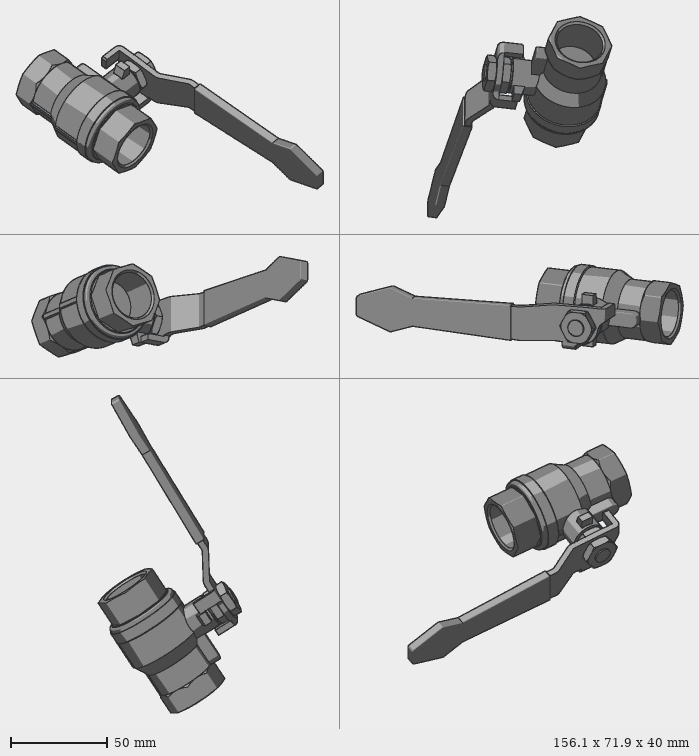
import cadquery as cq
import math


half_length = 35.0
neck_radius = 15.5
barrel_radius = 19.3
collar_radius = 20.0
neck_end_x = -11.0
barrel_start_x = -3.9
collar_start_x = 11.5
collar_end_x = 18.0
collar_chamfer = 0.5
barrel_end_x = 20.5
barrel_end_fillet = 1.1
end_cone_length = 0.5

octagon_corner_radius = 16.9
octagon_edge_fillet = 0.8
octagon_front_length = 11.2
octagon_face_chamfer = 1.4
octagon_face_chamfer_depth = 0.3
octagon_back_chamfer = 1.2
bore_radius = 12.2
bore_depth = 20.3
bore_chamfer = 1.1

rib_top_width = 2.3
rib_base_width = 3.3
neck_rib_reach = 16.2
neck_rib_end_x = -9.7

bar_width = 7.8
bar_top_y = 20.9
bar_end_x = -24.5
bar_edge_fillet = 0.5

boss_radius = 9.0
boss_top_y = 30.5
gland_radius = 7.2
stem_radius = 4.4
stem_top_y = 44.6
lug_width = 6.2
lug_reach = 13.9
lug_top_y = 29.0
lug_tip_y = 25.1
lug_root_y = 23.4

nut_corner_radius = 9.5
nut_height = 4.5
nut_chamfer = 1.0
lever_thickness = 3.3
lever_bottom_y = 35.9
lever_eye_radius = 10.3
lever_taper_x = -4.7
lever_neck_half_width = 8.7
tab_width = 6.5
tab_end_y = 26.0
hook_outer_x = -14.4
hook_corner_chamfer = 1.0
stop_end_x = 10.0
tab_bend_radius = 3.1
hook_corner_fillet = 6.2
stop_corner_fillet = 3.5
ramp_start_x = 15.6
ramp_angle = 31.0
bend_inner_radius = 2.8

grip_start_x = 35.0
grip_start_y = 46.5
grip_length = 86.1
grip_thickness = 4.8
grip_tilt = 2.0
grip_start_half_width = 9.5
grip_waist_at = 54.8
grip_waist_half_width = 7.6
grip_widest_at = 67.1
grip_widest_half_width = 12.0
grip_tip_half_width = 5.3
grip_corner_fillet = 1.5
grip_edge_fillet = 0.5

lever_top_y = lever_bottom_y + lever_thickness
hook_low_z = lever_eye_radius - tab_width
stop_start_x = stop_end_x - tab_width


def box(x_range, y_range, z_range):
    sizes = [high - low for low, high in (x_range, y_range, z_range)]
    corner = (x_range[0], y_range[0], z_range[0])
    return cq.Workplane("XY").box(*sizes, centered=False).translate(corner)


def cylinder_y(radius, start_y, end_y):
    return cq.Workplane("XZ", origin=(0, start_y, 0)).circle(radius).extrude(start_y - end_y)


def cylinder_x(radius, start_x, end_x):
    return cq.Workplane("YZ", origin=(start_x, 0, 0)).circle(radius).extrude(end_x - start_x)


def turned_body():
    start_x = -half_length + octagon_front_length
    fillet_start_x = barrel_end_x - barrel_end_fillet
    outline = [
        (start_x, 0),
        (start_x, neck_radius),
        (neck_end_x, neck_radius),
        (barrel_start_x, barrel_radius),
        (collar_start_x, barrel_radius),
        (collar_start_x + collar_chamfer, collar_radius),
        (collar_end_x, collar_radius),
        (collar_end_x, barrel_radius),
        (fillet_start_x, barrel_radius),
    ]
    profile = (
        cq.Workplane("XY")
        .polyline(outline)
        .tangentArcPoint((barrel_end_fillet, -barrel_end_fillet), relative=True)
        .lineTo(barrel_end_x, octagon_corner_radius + end_cone_length)
        .lineTo(barrel_end_x + end_cone_length, octagon_corner_radius)
        .lineTo(barrel_end_x + end_cone_length, 0)
        .close()
    )
    return profile.revolve(360, (0, 0, 0), (1, 0, 0))


def octagon(start_x, end_x):
    prism = (
        cq.Workplane("YZ", origin=(start_x, 0, 0))
        .polygon(8, 2 * octagon_corner_radius)
        .extrude(end_x - start_x)
    )
    return prism.edges("|X").fillet(octagon_edge_fillet)


def pipe_ends():
    front_end_x = -half_length + octagon_front_length
    front_limit = (
        cylinder_x(octagon_corner_radius, -half_length, front_end_x)
        .faces(">X")
        .edges()
        .chamfer(octagon_back_chamfer)
        .faces("<X")
        .edges()
        .chamfer(octagon_face_chamfer_depth, octagon_face_chamfer)
    )
    back_limit = (
        cylinder_x(octagon_corner_radius, barrel_end_x, half_length)
        .faces(">X")
        .edges()
        .chamfer(octagon_face_chamfer_depth, octagon_face_chamfer)
    )
    front = octagon(-half_length, front_end_x).intersect(front_limit)
    return front.union(octagon(barrel_end_x, half_length).intersect(back_limit))


def bore():
    plug = cylinder_x(bore_radius, -half_length, -half_length + bore_depth)
    mouth = cq.Workplane(
        cq.Solid.makeCone(
            bore_radius + bore_chamfer,
            bore_radius,
            bore_chamfer,
            pnt=cq.Vector(-half_length, 0, 0),
            dir=cq.Vector(1, 0, 0),
        )
    )
    front = plug.union(mouth)
    return front.union(front.mirror("YZ"))


def drafted_rib(start_x, end_x, base_radius, top_radius):
    """A bar across the body whose two outer edges taper from the surface outwards."""
    tapered_edge = [
        (base_radius, rib_base_width / 2),
        (top_radius, rib_top_width / 2),
    ]
    profile = (
        tapered_edge
        + [(y, -z) for y, z in reversed(tapered_edge)]
        + [(-y, -z) for y, z in tapered_edge]
        + [(-y, z) for y, z in reversed(tapered_edge)]
    )
    section = cq.Workplane("YZ", origin=(start_x, 0, 0)).polyline(profile).close()
    return section.extrude(end_x - start_x)


def parting_ribs():
    neck_start_x = -half_length + octagon_front_length - octagon_back_chamfer
    neck_rib = drafted_rib(neck_start_x, neck_rib_end_x, neck_radius, neck_rib_reach)
    barrel_rib = drafted_rib(barrel_start_x, collar_start_x + collar_chamfer, barrel_radius, collar_radius)
    return neck_rib.union(barrel_rib)


def neck_bar():
    round_radius = bar_width / 2
    center_x = bar_end_x + round_radius
    bar = box((center_x, 0), (0, bar_top_y), (-round_radius, round_radius))
    bar = bar.union(cylinder_y(round_radius, 0, bar_top_y).translate((center_x, 0, 0)))
    return bar.faces(">Y").edges().fillet(bar_edge_fillet)


def stem():
    boss = cylinder_y(boss_radius, 0, boss_top_y)
    gland = cylinder_y(gland_radius, boss_top_y, lever_bottom_y)
    spindle = cylinder_y(stem_radius, boss_top_y, stem_top_y)
    return boss.union(gland).union(spindle)


def lugs():
    profile = [
        (lug_top_y, -lug_reach),
        (lug_top_y, lug_reach),
        (lug_tip_y, lug_reach),
        (lug_root_y, boss_radius),
        (lug_root_y, -boss_radius),
        (lug_tip_y, -lug_reach),
    ]
    return cq.Workplane("YZ").polyline(profile).close().extrude(lug_width / 2, both=True)


def nut(bottom_y):
    top_y = bottom_y + nut_height
    hexagon = cq.Workplane("XZ", origin=(0, bottom_y, 0)).polygon(6, 2 * nut_corner_radius)
    rounding = cylinder_y(nut_corner_radius, bottom_y, top_y).edges().chamfer(nut_chamfer / 2, nut_chamfer)
    return hexagon.extrude(-nut_height).intersect(rounding)


def lever_strip():
    """Side profile of the bent strip: rounded hook bend, flat, ramp and the neck inside the grip."""
    angle = math.radians(ramp_angle)
    miter = lever_thickness * math.tan(angle / 2)
    neck_bottom_y = grip_start_y - lever_thickness / 2
    neck_top_y = neck_bottom_y + lever_thickness
    ramp_end_x = ramp_start_x + (neck_bottom_y - lever_bottom_y) / math.tan(angle)
    neck_end = grip_start_x + grip_thickness
    ramp_foot = (ramp_start_x, lever_bottom_y)
    neck_foot = (ramp_end_x, neck_bottom_y)
    neck_head = (ramp_end_x - miter, neck_top_y)
    ramp_head = (ramp_start_x - miter, lever_top_y)
    hook_bend = (hook_outer_x, lever_top_y)
    profile = [
        (hook_outer_x, lever_bottom_y),
        ramp_foot,
        neck_foot,
        (neck_end, neck_bottom_y),
        (neck_end, neck_top_y),
        neck_head,
        ramp_head,
        hook_bend,
    ]
    strip = cq.Workplane("XY").polyline(profile).close().extrude(lever_eye_radius, both=True)
    bend_outer_radius = bend_inner_radius + lever_thickness
    bends = [
        (ramp_foot, bend_outer_radius),
        (ramp_head, bend_inner_radius),
        (neck_foot, bend_inner_radius),
        (neck_head, bend_outer_radius),
        (hook_bend, tab_bend_radius),
    ]
    for (x, y), radius in bends:
        strip = strip.edges("|Z").edges(cq.NearestToPointSelector((x, y, 0))).fillet(radius)
    return strip


def stop_strip():
    """Flat of the lever on its -Z side, rounded where it bends down into the stop tab."""
    flat = box((-lever_eye_radius, stop_end_x), (lever_bottom_y, lever_top_y), (-lug_reach, 0))
    return flat.edges("|X and <Z and >Y").fillet(tab_bend_radius)


def lever_outline():
    """Plan of the lever: hook, round eye about the stem, stop tab and tapering arm."""
    bottom_y = lever_bottom_y
    top_y = grip_start_y + lever_thickness
    arm_end_x = grip_start_x + grip_thickness
    overrun = 2 * hook_corner_fillet

    hook = box((hook_outer_x - overrun, lever_taper_x), (bottom_y, top_y), (hook_low_z, lever_eye_radius))
    stop = box((stop_start_x, stop_end_x), (bottom_y, top_y), (-lug_reach - overrun, 0))
    half_eye = cylinder_y(lever_eye_radius, bottom_y, top_y).intersect(
        box((-lever_eye_radius, lever_eye_radius), (bottom_y, top_y), (-lever_eye_radius, hook_low_z))
    )
    arm_points = [
        (lever_taper_x, lever_eye_radius),
        (arm_end_x, lever_neck_half_width),
        (arm_end_x, -lever_neck_half_width),
        (0, -lever_eye_radius),
        (lever_taper_x, 0),
    ]
    arm = cq.Workplane("XZ", origin=(0, bottom_y, 0)).polyline(arm_points).close()
    outline = half_eye.union(hook).union(stop).union(arm.extrude(bottom_y - top_y))

    middle_y = (bottom_y + top_y) / 2
    hook_corner_x = -math.sqrt(lever_eye_radius**2 - hook_low_z**2)
    stop_corner_z = -math.sqrt(lever_eye_radius**2 - stop_start_x**2)
    corners = [
        (hook_corner_x, hook_low_z, hook_corner_fillet),
        (stop_start_x, stop_corner_z, stop_corner_fillet),
    ]
    for x, z, radius in corners:
        corner_edge = cq.NearestToPointSelector((x, middle_y, z))
        outline = outline.edges("|Y").edges(corner_edge).fillet(radius)
    return outline


def hanging_tabs():
    """The parts of the hook and the stop that hang straight down from the lever."""
    y_range = (tab_end_y, lever_bottom_y)
    hook_x = (hook_outer_x, hook_outer_x + lever_thickness)
    stop_z = (-lug_reach, -lug_reach + lever_thickness)
    hook = box(hook_x, y_range, (hook_low_z, lever_eye_radius))
    hook = hook.edges("|X and >Z and <Y").chamfer(hook_corner_chamfer)
    return hook.union(box((stop_start_x, stop_end_x), y_range, stop_z))


def lever():
    outline = lever_outline()
    strip = lever_strip().intersect(outline)
    return strip.union(stop_strip().intersect(outline)).union(hanging_tabs())


def grip():
    upper_side = [
        (0, grip_start_half_width),
        (grip_waist_at, grip_waist_half_width),
        (grip_widest_at, grip_widest_half_width),
        (grip_length, grip_tip_half_width),
    ]
    lower_side = [(x, -z) for x, z in reversed(upper_side)]
    sleeve = (
        cq.Workplane("XZ")
        .polyline(upper_side + lower_side)
        .close()
        .extrude(grip_thickness / 2, both=True)
    )
    sleeve = sleeve.edges("|Y and (>X or >Z or <Z)").fillet(grip_corner_fillet)
    sleeve = sleeve.faces("<Y or >Y").edges().fillet(grip_edge_fillet)
    return sleeve.rotate((0, 0, 0), (0, 0, 1), grip_tilt).translate((grip_start_x, grip_start_y, 0))


result = turned_body().union(pipe_ends()).union(parting_ribs())
result = result.union(neck_bar()).union(stem()).union(lugs()).cut(bore())
for nut_bottom_y in (lever_bottom_y - nut_height, lever_top_y):
    result = result.union(nut(nut_bottom_y))
result = result.union(lever()).union(grip())